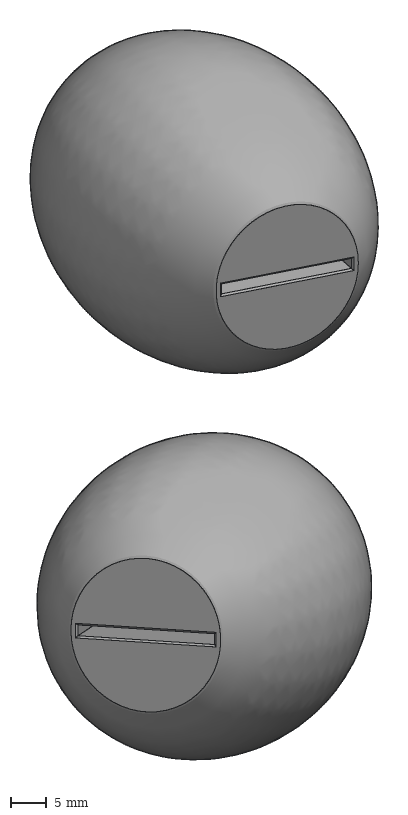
import cadquery as cq
import math

length = 55.0
body_radius = 22.47
egg_half_length = 31.6

bevel_depth = 0.15
bevel_width = 0.35

slot_width = 20.0
slot_height = 1.55
slot_bevel = 0.3

half_length = length / 2
rim_x = half_length - bevel_depth
rim_radius = body_radius * math.sqrt(1 - (rim_x / egg_half_length) ** 2)
face_radius = rim_radius - bevel_width


def make_body():
    """Revolve the half outline; the elliptical arc joins the two rims."""
    rim_angle = math.degrees(math.acos(rim_x / egg_half_length))
    return (
        cq.Workplane("XY")
        .moveTo(-half_length, 0)
        .lineTo(half_length, 0)
        .lineTo(half_length, face_radius)
        .lineTo(rim_x, rim_radius)
        .ellipseArc(egg_half_length, body_radius, rim_angle, 180 - rim_angle, startAtCurrent=True)
        .lineTo(-half_length, face_radius)
        .close()
        .revolve(360, (0, 0, 0), (1, 0, 0))
    )


def cut_slot(body):
    """Cut the through slot and bevel its mouth at both ends."""
    slotted = body.cut(cq.Workplane("XY").box(length, slot_width, slot_height))
    mouth = cq.selectors.BoxSelector(
        (-length, -slot_width, -slot_height),
        (length, slot_width, slot_height),
    )
    return slotted.faces("<X or >X").edges(mouth).edges("|Y or |Z").chamfer(slot_bevel)


result = cut_slot(make_body())